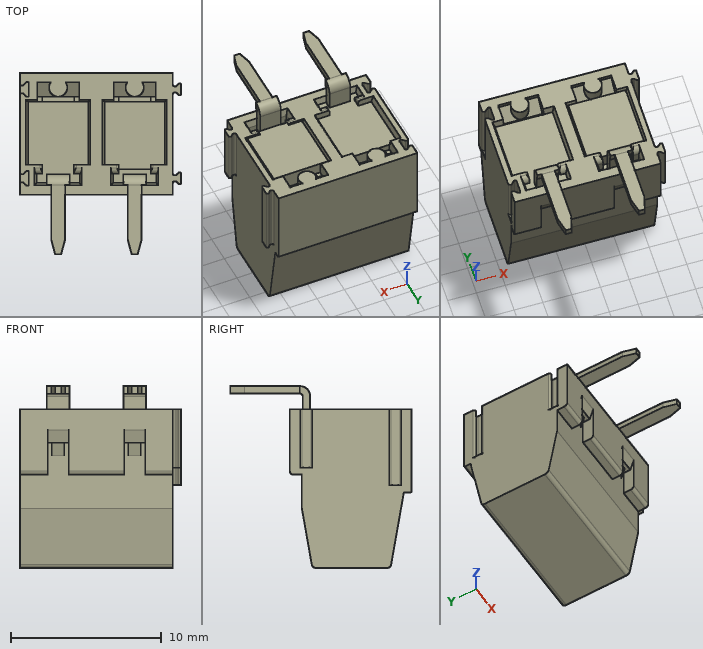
import cadquery as cq
import math


PITCH = 5.08
POLES = 2
WIDTH = PITCH * POLES
DEPTH = 8.11
TOP = 10.56
FRONT_STEP = 0.8
FRONT_SKIRT_Z = 6.21
FRONT_SKIRT_RADIUS = 0.25
BACK_STEP = 0.52
BACK_SKIRT_Z = 5.01
BACK_SKIRT_RADIUS = 0.15
TAPER_START_Z = 3.99
TAPER = math.tan(math.radians(10))
BOTTOM_RADIUS = 0.31

BACK_TAIL_Y = 7.0
FRONT_TAIL_Y = 1.1
BACK_TAIL_Z = 5.52
FRONT_TAIL_Z = 6.68
TAB_LENGTH = 0.55
TAB_NECK_HALF = 0.2
TAB_HEAD_HALF = 0.4
TAB_NECK_LENGTH = 0.2
TAB_ROOT_RADIUS = 0.12
GROOVE_LENGTH = 0.6
GROOVE_NECK_HALF = 0.25
GROOVE_HEAD_HALF = 0.5
GROOVE_NECK_LENGTH = 0.2
GROOVE_LIP_RADIUS = 0.13
FLANK_RADIUS = 0.11
HEAD_CORNER_RADIUS = 0.1

RECESS_DEPTH = 0.47
RECESS_INSET = 0.15
RECESS_FLOOR = TOP - RECESS_DEPTH
MAIN_HALF = 2.14
MAIN_FRONT = 2.01
MAIN_BACK = 6.33
NECK_HALF = 1.05
NECK_RADIUS = 0.16
WELL_HALF = 1.57
WELL_FRONT = 0.65
WELL_BACK = 1.82
JAW_RADIUS = 0.42
PLATE_DROP = 0.13
PLATE_FRONT = 1.72
SUMP_FLOOR = TOP - 1.21

RAMP_HALF = 1.39
RAMP_FRONT = 6.52
RAMP_BACK = 7.48
RAMP_SHALLOW = 0.28
RAMP_DEEP = 0.94
SLIT_HALF = 1.06
SLIT_DEPTH = 1.42
POST_RADIUS = 0.6

SLOT_WIDTH = 1.39
SLOT_TOP = 9.18
LEDGE_Z = 8.34
SLOT_LEAN = 0.27
GUSSET_WIDTH = 0.83
GUSSET_Z = 7.51

PIN_TOP = 12.1
PIN_TIP_Y = -3.95
PIN_THICKNESS = 0.51
PIN_BACK = 1.37
PIN_BEND_RADIUS = 0.69
PLATE_WIDTH = 1.51
ARM_WIDTH = 0.92
TIP_WIDTH = 0.41
TIP_LENGTH = 0.94


def box(x0, x1, y0, y1, z0, z1):
    return cq.Workplane("XY").box(x1 - x0, y1 - y0, z1 - z0, centered=False).translate((x0, y0, z0))


def extrude_along_x(profile, x_center, width):
    """Extrude a closed YZ profile by width, centred on x_center."""
    return profile.extrude(width).translate((x_center - width / 2, 0, 0))


def make_housing():
    front_foot = FRONT_STEP + TAPER_START_Z * TAPER
    back_shoulder = DEPTH - BACK_STEP
    back_foot = back_shoulder - BACK_SKIRT_Z * TAPER
    outline = [
        (0, TOP),
        (0, FRONT_SKIRT_Z),
        (FRONT_STEP, FRONT_SKIRT_Z),
        (FRONT_STEP, TAPER_START_Z),
        (front_foot, 0),
        (back_foot, 0),
        (back_shoulder, BACK_SKIRT_Z),
        (DEPTH, BACK_SKIRT_Z),
        (DEPTH, TOP),
    ]
    body = cq.Workplane("YZ").polyline(outline).close().extrude(WIDTH)
    body = body.edges("|X").edges("<Z").fillet(BOTTOM_RADIUS)

    def skirt_edge(y, z):
        return cq.selectors.NearestToPointSelector((WIDTH / 2, y, z))

    body = body.edges(skirt_edge(0, FRONT_SKIRT_Z)).fillet(FRONT_SKIRT_RADIUS)
    return body.edges(skirt_edge(DEPTH, BACK_SKIRT_Z)).fillet(BACK_SKIRT_RADIUS)


def make_dovetail(y, z, length, neck_half, neck_length, head_half, root_radius):
    """Vertical dovetail growing in +X from x = 0, flared by rounds at its root."""
    head_start = neck_length + head_half - neck_half
    root_half = neck_half + root_radius
    outline = (
        cq.Workplane("XY")
        .moveTo(0, -root_half)
        .radiusArc((root_radius, -neck_half), root_radius)
        .lineTo(neck_length, -neck_half)
        .lineTo(head_start, -head_half)
        .lineTo(length, -head_half)
        .lineTo(length, head_half)
        .lineTo(head_start, head_half)
        .lineTo(neck_length, neck_half)
        .lineTo(root_radius, neck_half)
        .radiusArc((0, root_half), root_radius)
        .close()
    )
    tail = outline.extrude(TOP - z)
    tail = tail.edges("|Z").edges(">X").fillet(HEAD_CORNER_RADIUS)
    for side in (-1, 1):
        for corner_x, half in [(neck_length, neck_half), (head_start, head_half)]:
            corner = cq.selectors.NearestToPointSelector((corner_x, side * half, (TOP - z) / 2))
            tail = tail.edges("|Z").edges(corner).fillet(FLANK_RADIUS)
    return tail.translate((0, y, z))


def make_tab(y, z):
    tab = make_dovetail(y, z, TAB_LENGTH, TAB_NECK_HALF, TAB_NECK_LENGTH, TAB_HEAD_HALF, TAB_ROOT_RADIUS)
    return tab.translate((WIDTH, 0, 0))


def make_groove(y, z):
    return make_dovetail(
        y, z, GROOVE_LENGTH, GROOVE_NECK_HALF, GROOVE_NECK_LENGTH, GROOVE_HEAD_HALF, GROOVE_LIP_RADIUS
    )


def drafted_pocket(x, half, front, back, front_inset=0.0, back_inset=0.0):
    """Pocket from the housing top to the recess floor, its sides leaning in."""
    floor_half = half - RECESS_INSET
    floor_depth = (back - back_inset) - (front + front_inset)
    floor_shift = (front_inset - back_inset) / 2
    return (
        cq.Workplane("XY", origin=(x, (front + back) / 2, TOP))
        .rect(2 * half, back - front)
        .workplane(offset=-RECESS_DEPTH)
        .center(0, floor_shift)
        .rect(2 * floor_half, floor_depth)
        .loft(ruled=True)
    )


def make_recess(x):
    """Clamp recess, joined by a neck between rounded jaws to the pin well."""
    jaw_front = WELL_BACK - JAW_RADIUS
    main = drafted_pocket(x, MAIN_HALF, MAIN_FRONT, MAIN_BACK, back_inset=RECESS_INSET)
    neck_profile = (
        cq.Workplane("XZ", origin=(x, MAIN_FRONT, 0))
        .moveTo(-NECK_HALF, RECESS_FLOOR)
        .lineTo(-NECK_HALF, TOP - NECK_RADIUS)
        .radiusArc((-NECK_HALF - NECK_RADIUS, TOP), -NECK_RADIUS)
        .lineTo(NECK_HALF + NECK_RADIUS, TOP)
        .radiusArc((NECK_HALF, TOP - NECK_RADIUS), -NECK_RADIUS)
        .lineTo(NECK_HALF, RECESS_FLOOR)
        .close()
    )
    neck = neck_profile.extrude(MAIN_FRONT - jaw_front)
    well = drafted_pocket(x, WELL_HALF, WELL_FRONT, WELL_BACK, front_inset=RECESS_INSET)
    jaw_profile = (
        cq.Workplane("YZ")
        .moveTo(WELL_BACK, RECESS_FLOOR)
        .lineTo(jaw_front, RECESS_FLOOR)
        .lineTo(jaw_front, TOP - JAW_RADIUS)
        .radiusArc((WELL_BACK, TOP), JAW_RADIUS)
        .close()
    )
    jaws = extrude_along_x(jaw_profile, x, 2 * WELL_HALF)
    return well.cut(jaws).union(neck).union(main)


def make_clamp_plate(x):
    half = MAIN_HALF - RECESS_INSET
    back = MAIN_BACK - RECESS_INSET
    plate = box(x - half, x + half, MAIN_FRONT, back, RECESS_FLOOR, TOP - PLATE_DROP)
    tongue = box(x - NECK_HALF, x + NECK_HALF, PLATE_FRONT, MAIN_FRONT, RECESS_FLOOR, TOP - PLATE_DROP)
    return plate.union(tongue)


def make_sump(x):
    """Straight-sided deepening of the well, from its drafted walls to the plate."""
    jaw_front = WELL_BACK - JAW_RADIUS
    well_half = WELL_HALF - RECESS_INSET
    well = box(x - well_half, x + well_half, WELL_FRONT + RECESS_INSET, jaw_front, SUMP_FLOOR, TOP)
    return well.union(box(x - NECK_HALF, x + NECK_HALF, jaw_front, PLATE_FRONT, SUMP_FLOOR, TOP))


def make_back_pocket(x):
    """Pocket with a ramp falling towards the front, around a round post."""
    pocket_front = MAIN_BACK - RECESS_INSET
    profile = cq.Workplane("YZ").polyline([
        (pocket_front, TOP),
        (pocket_front, TOP - RAMP_DEEP),
        (RAMP_FRONT, TOP - RAMP_DEEP),
        (RAMP_BACK, TOP - RAMP_SHALLOW),
        (RAMP_BACK, TOP),
    ]).close()
    pocket = extrude_along_x(profile, x, 2 * RAMP_HALF)
    slit = box(x - SLIT_HALF, x + SLIT_HALF, pocket_front, RAMP_FRONT, TOP - SLIT_DEPTH, TOP)
    post = (
        cq.Workplane("XY", origin=(x, RAMP_FRONT + POST_RADIUS, TOP - RAMP_DEEP))
        .circle(POST_RADIUS)
        .extrude(RAMP_DEEP)
    )
    return pocket.union(slit).cut(post)


def make_front_slot(x):
    """Slot through the front skirt, under a sloped top and a narrower gusset."""
    opening = cq.Workplane("YZ").polyline([
        (0, SLOT_TOP),
        (SLOT_LEAN, LEDGE_Z),
        (FRONT_STEP, LEDGE_Z),
        (FRONT_STEP, FRONT_SKIRT_Z),
        (0, FRONT_SKIRT_Z),
    ]).close()
    gusset = cq.Workplane("YZ").polyline([
        (FRONT_STEP - SLOT_LEAN, LEDGE_Z),
        (FRONT_STEP, LEDGE_Z),
        (FRONT_STEP, GUSSET_Z),
    ]).close()
    slot = extrude_along_x(opening, x, SLOT_WIDTH)
    return slot.cut(extrude_along_x(gusset, x, GUSSET_WIDTH))


def make_pin(x):
    """Upright plate bent forward, narrowing to an arm with a tapered tip."""
    bend_end = PIN_BACK - PIN_BEND_RADIUS
    arm_bottom = PIN_TOP - PIN_THICKNESS
    inner_radius = PIN_BEND_RADIUS - PIN_THICKNESS
    plate_profile = (
        cq.Workplane("YZ")
        .moveTo(PIN_BACK, SUMP_FLOOR)
        .lineTo(PIN_BACK, PIN_TOP - PIN_BEND_RADIUS)
        .radiusArc((bend_end, PIN_TOP), -PIN_BEND_RADIUS)
        .lineTo(bend_end, arm_bottom)
        .radiusArc((PIN_BACK - PIN_THICKNESS, arm_bottom - inner_radius), inner_radius)
        .lineTo(PIN_BACK - PIN_THICKNESS, SUMP_FLOOR)
        .close()
    )
    plate = extrude_along_x(plate_profile, x, PLATE_WIDTH)
    arm = (
        cq.Workplane("XY", origin=(x, 0, arm_bottom))
        .polyline([
            (-ARM_WIDTH / 2, bend_end),
            (-ARM_WIDTH / 2, PIN_TIP_Y + TIP_LENGTH),
            (-TIP_WIDTH / 2, PIN_TIP_Y),
            (TIP_WIDTH / 2, PIN_TIP_Y),
            (ARM_WIDTH / 2, PIN_TIP_Y + TIP_LENGTH),
            (ARM_WIDTH / 2, bend_end),
        ])
        .close()
        .extrude(PIN_THICKNESS)
    )
    return plate.union(arm)


result = make_housing()
for tail_y, tail_z in [(FRONT_TAIL_Y, FRONT_TAIL_Z), (BACK_TAIL_Y, BACK_TAIL_Z)]:
    result = result.cut(make_groove(tail_y, tail_z)).union(make_tab(tail_y, tail_z))

pole_centers = [PITCH * (pole + 0.5) for pole in range(POLES)]
for pole_x in pole_centers:
    result = result.cut(make_recess(pole_x))
    result = result.cut(make_back_pocket(pole_x))
    result = result.cut(make_front_slot(pole_x))

result = result.cut(make_sump(pole_centers[-1])).union(make_clamp_plate(pole_centers[-1]))

for pole_x in pole_centers:
    result = result.union(make_pin(pole_x))